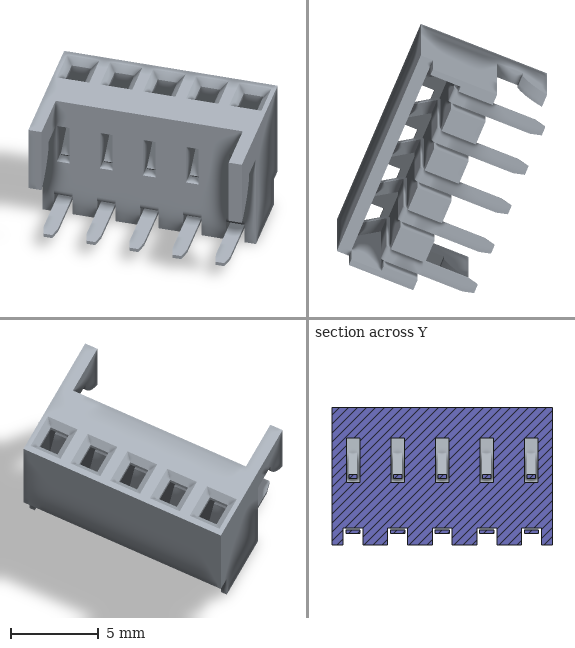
import cadquery as cq
import math


LENGTH = 12.6
HEIGHT = 7.88
BACK_Y = 4.7
STEP_DEPTH = 0.74
STEP_Z = 1.79

ARM_WIDTH = 0.78
ARM_REACH = 3.07
ARM_UNDERSIDE_Z = 6.09
HOOK_Y = -1.56
HOOK_CURVE_Z = 5.61
HOOK_TIP_Z = 3.74
HOOK_MIDDLE = (-2.12, 4.61)

POSITIONS = 5
ROW_SPAN = 10.15
PITCH = ROW_SPAN / (POSITIONS - 1)

ENTRY_WIDTH = 1.9
ENTRY_DEPTH = 2.17
ENTRY_CHAMFER = 0.38
LIP_HEIGHT = 0.24

WALL_THICKNESS = 2.1
END_WALL = 0.35
HOLLOW_BACK_Y = BACK_Y - STEP_DEPTH
HOLLOW_TOP_Z = HEIGHT - ENTRY_CHAMFER - LIP_HEIGHT

SLOT_WIDTH = 0.74
SLOT_BOTTOM_Z = 3.58
SLOT_HEIGHT = 2.52
NOTCH_WIDTH = 1.11
NOTCH_CEILING_Z = 0.98
NOTCH_ROUNDING = 0.5

SHEET = 0.21
CONTACT_WIDTH = 0.85
PIN_BOTTOM_Z = 0.67
PIN_REACH = 3.35
PIN_TIP_WIDTH = 0.52
PIN_TAPER = 0.67
STRIP_TOP_Z = 6.55
BEAM_TILT = 61.0
LANCE_WIDTH = 0.5
LANCE_TOP_Z = 5.27
LANCE_DROP = 1.44
LANCE_REACH = 1.7

PIN_TOP_Z = PIN_BOTTOM_Z + SHEET
BEND_INNER_RADIUS = NOTCH_CEILING_Z - PIN_TOP_Z
BEND_OUTER_RADIUS = BEND_INNER_RADIUS + SHEET
STRIP_BACK_Y = WALL_THICKNESS + SHEET


def box(width, y_range, z_range):
    """Box centred on X between two Y and two Z places."""
    depth = y_range[1] - y_range[0]
    height = z_range[1] - z_range[0]
    block = cq.Workplane("XY").box(width, depth, height, centered=(True, False, False))
    return block.translate((0, y_range[0], z_range[0]))


def extrude_across(profile, width):
    """Extrude a closed YZ profile symmetrically about X = 0."""
    return profile.close().extrude(width / 2, both=True)


def along_row(shape):
    """One compound holding a copy of the shape at every position."""
    copies = cq.Workplane("XY")
    for index in range(POSITIONS):
        copies = copies.add(shape.translate((index * PITCH - ROW_SPAN / 2, 0, 0)))
    return copies.combine()


def make_body():
    block = box(LENGTH, (0, BACK_Y), (0, HEIGHT))
    step = box(LENGTH, (HOLLOW_BACK_Y, BACK_Y), (0, STEP_Z))
    hollow = box(LENGTH - 2 * END_WALL, (WALL_THICKNESS, HOLLOW_BACK_Y), (0, HOLLOW_TOP_Z))
    return block.cut(step).cut(hollow)


def make_arms():
    profile = (
        cq.Workplane("YZ")
        .moveTo(0, HEIGHT)
        .lineTo(-ARM_REACH, HEIGHT)
        .lineTo(-ARM_REACH, HOOK_TIP_Z)
        .threePointArc(HOOK_MIDDLE, (HOOK_Y, HOOK_CURVE_Z))
        .lineTo(HOOK_Y, ARM_UNDERSIDE_Z)
        .lineTo(0, ARM_UNDERSIDE_Z)
    )
    arm = extrude_across(profile, ARM_WIDTH)
    offset = (LENGTH - ARM_WIDTH) / 2
    return arm.translate((-offset, 0, 0)).add(arm.translate((offset, 0, 0))).combine()


def make_entry():
    """Funnel narrowing at 45 degrees to a straight throat."""
    throat_width = ENTRY_WIDTH - 2 * ENTRY_CHAMFER
    throat_depth = ENTRY_DEPTH - 2 * ENTRY_CHAMFER
    middle_y = HOLLOW_BACK_Y - throat_depth / 2
    funnel = (
        cq.Workplane("XY", origin=(0, middle_y, HEIGHT))
        .rect(ENTRY_WIDTH, ENTRY_DEPTH)
        .workplane(offset=-ENTRY_CHAMFER)
        .rect(throat_width, throat_depth)
        .loft(ruled=True)
    )
    throat_y = (HOLLOW_BACK_Y - throat_depth, HOLLOW_BACK_Y)
    throat = box(throat_width, throat_y, (HOLLOW_TOP_Z, HEIGHT - ENTRY_CHAMFER))
    return funnel.union(throat)


def make_slot():
    return box(SLOT_WIDTH, (0, WALL_THICKNESS), (SLOT_BOTTOM_Z, SLOT_BOTTOM_Z + SLOT_HEIGHT))


def make_notch():
    """Open-bottomed notch whose ceiling rounds over into the front face."""
    diagonal = NOTCH_ROUNDING * (1 - math.sqrt(0.5))
    profile = (
        cq.Workplane("YZ")
        .moveTo(0, 0)
        .lineTo(WALL_THICKNESS, 0)
        .lineTo(WALL_THICKNESS, NOTCH_CEILING_Z)
        .lineTo(NOTCH_ROUNDING, NOTCH_CEILING_Z)
        .threePointArc(
            (diagonal, NOTCH_CEILING_Z + diagonal),
            (0, NOTCH_CEILING_Z + NOTCH_ROUNDING),
        )
    )
    return extrude_across(profile, NOTCH_WIDTH)


def make_pin():
    """Flat pin with a tapered tip, running from the tip back to the bend."""
    shoulder_y = PIN_TAPER - PIN_REACH
    root_y = WALL_THICKNESS - BEND_INNER_RADIUS
    half_width = CONTACT_WIDTH / 2
    half_tip = PIN_TIP_WIDTH / 2
    outline = [
        (-half_width, root_y),
        (-half_width, shoulder_y),
        (-half_tip, -PIN_REACH),
        (half_tip, -PIN_REACH),
        (half_width, shoulder_y),
        (half_width, root_y),
    ]
    return cq.Workplane("XY", origin=(0, 0, PIN_BOTTOM_Z)).polyline(outline).close().extrude(SHEET)


def make_strip():
    """Quarter bend rising from the pin and the upright strip against the wall."""
    bend_y = WALL_THICKNESS - BEND_INNER_RADIUS
    inner_diagonal = BEND_INNER_RADIUS * math.sqrt(0.5)
    outer_diagonal = BEND_OUTER_RADIUS * math.sqrt(0.5)
    upright = (
        cq.Workplane("YZ")
        .moveTo(bend_y, PIN_BOTTOM_Z)
        .threePointArc(
            (bend_y + outer_diagonal, NOTCH_CEILING_Z - outer_diagonal),
            (STRIP_BACK_Y, NOTCH_CEILING_Z),
        )
        .lineTo(STRIP_BACK_Y, STRIP_TOP_Z)
        .lineTo(WALL_THICKNESS, STRIP_TOP_Z)
        .lineTo(WALL_THICKNESS, NOTCH_CEILING_Z)
        .threePointArc(
            (bend_y + inner_diagonal, NOTCH_CEILING_Z - inner_diagonal),
            (bend_y, PIN_TOP_Z),
        )
    )
    return extrude_across(upright, CONTACT_WIDTH)


def make_beam():
    """Beam sloping down from the top of the strip to the back wall of the hollow."""
    tilt = math.radians(BEAM_TILT)
    foot_z = STRIP_TOP_Z - (HOLLOW_BACK_Y - STRIP_BACK_Y) * math.tan(tilt)
    upright_thickness = SHEET / math.cos(tilt)
    beam = cq.Workplane("YZ").polyline([
        (STRIP_BACK_Y, STRIP_TOP_Z),
        (HOLLOW_BACK_Y, foot_z),
        (HOLLOW_BACK_Y, foot_z - upright_thickness),
        (STRIP_BACK_Y, STRIP_TOP_Z - upright_thickness),
    ])
    return extrude_across(beam, CONTACT_WIDTH)


def make_lance():
    """Locking tongue leaning out of the strip into the slot, with a square-cut end."""
    tilt = math.atan2(LANCE_REACH, LANCE_DROP)
    tip_y = WALL_THICKNESS - LANCE_REACH
    tip_z = LANCE_TOP_Z - LANCE_DROP
    lance = cq.Workplane("YZ").polyline([
        (WALL_THICKNESS, LANCE_TOP_Z),
        (tip_y, tip_z),
        (tip_y + SHEET * math.cos(tilt), tip_z - SHEET * math.sin(tilt)),
        (WALL_THICKNESS, LANCE_TOP_Z - SHEET / math.sin(tilt)),
    ])
    return extrude_across(lance, LANCE_WIDTH)


housing = make_body().union(make_arms())
for opening in (make_entry(), make_slot(), make_notch()):
    housing = housing.cut(along_row(opening))

contact = make_pin().union(make_strip()).union(make_beam()).union(make_lance())
result = housing.union(along_row(contact))